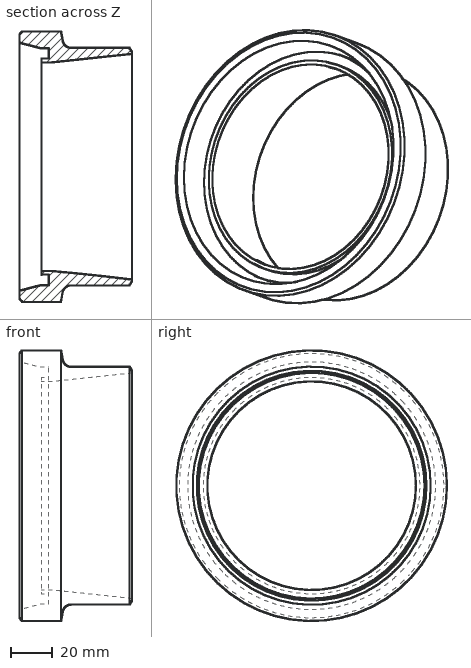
import cadquery as cq
import math

LENGTH = 54.0
FLANGE_RADIUS = 130.0 / 2
FLANGE_WIDTH = 20.0
SPIGOT_RADIUS = 114.3 / 2

FRONT_CHAMFER_LENGTH = 1.2
FRONT_CHAMFER_DEPTH = 1.5
END_CHAMFER_LENGTH = 1.2
END_CHAMFER_DEPTH = 2.0
FLANGE_BACK_ANGLE = math.radians(10)
NECK_FILLET = 4.0

SEAT_MOUTH_RADIUS = 59.5
SEAT_RADIUS = 113.8 / 2
SEAT_CONE_DEPTH = 10.0
SHOULDER_DEPTH = 14.0

LIP_OUTER_RADIUS = 104.0 / 2
LIP_HEIGHT = 3.5

BORE_RADIUS = 100.0 / 2
BORE_LAND_END = 15.0
SPIGOT_END_WALL = 3.0
BORE_EXIT_RADIUS = SPIGOT_RADIUS - SPIGOT_END_WALL


def half_section():
    """Half section of the ring: X along the axis, Y as the radius."""
    fillet_center_radius = SPIGOT_RADIUS + NECK_FILLET
    fillet_start_radius = fillet_center_radius - NECK_FILLET * math.sin(FLANGE_BACK_ANGLE)
    fillet_start = FLANGE_WIDTH + (FLANGE_RADIUS - fillet_start_radius) * math.tan(FLANGE_BACK_ANGLE)
    fillet_center = fillet_start + NECK_FILLET * math.cos(FLANGE_BACK_ANGLE)
    mid_angle = (FLANGE_BACK_ANGLE + math.pi / 2) / 2
    fillet_middle = (
        fillet_center - NECK_FILLET * math.cos(mid_angle),
        fillet_center_radius - NECK_FILLET * math.sin(mid_angle),
    )
    lip_face = SHOULDER_DEPTH - LIP_HEIGHT

    outside = (
        cq.Workplane("XY")
        .moveTo(0, SEAT_MOUTH_RADIUS)
        .lineTo(0, FLANGE_RADIUS - FRONT_CHAMFER_DEPTH)
        .lineTo(FRONT_CHAMFER_LENGTH, FLANGE_RADIUS)
        .lineTo(FLANGE_WIDTH, FLANGE_RADIUS)
        .lineTo(fillet_start, fillet_start_radius)
        .threePointArc(fillet_middle, (fillet_center, SPIGOT_RADIUS))
        .lineTo(LENGTH - END_CHAMFER_LENGTH, SPIGOT_RADIUS)
        .lineTo(LENGTH, SPIGOT_RADIUS - END_CHAMFER_DEPTH)
    )
    return (
        outside
        .lineTo(LENGTH, BORE_EXIT_RADIUS)
        .lineTo(BORE_LAND_END, BORE_RADIUS)
        .lineTo(lip_face, BORE_RADIUS)
        .lineTo(lip_face, LIP_OUTER_RADIUS)
        .lineTo(SHOULDER_DEPTH, LIP_OUTER_RADIUS)
        .lineTo(SHOULDER_DEPTH, SEAT_RADIUS)
        .lineTo(SEAT_CONE_DEPTH, SEAT_RADIUS)
        .close()
    )


result = half_section().revolve(360, (0, 0, 0), (1, 0, 0))